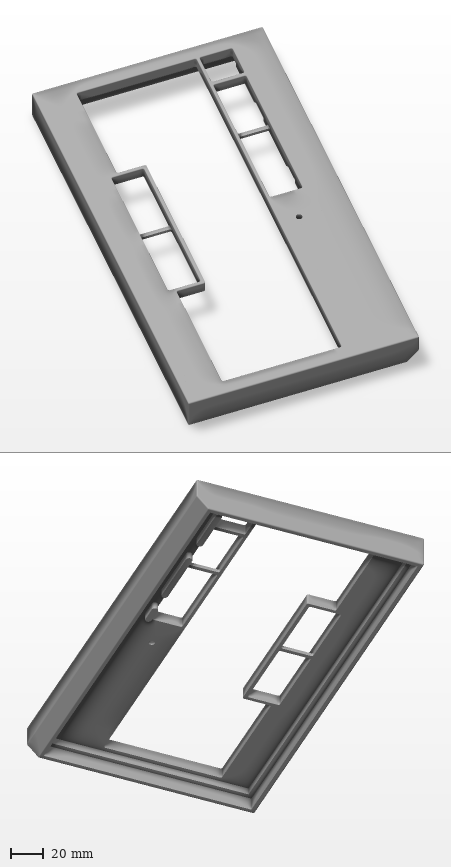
import cadquery as cq

length = 269.6
width = 151.8
height = 20.8
edge_radius = 0.8
rear_chamfer = 7.8

plate_thickness = 7.5
wall = 3.2
rear_wall = 10.2
ledge_depth = 12.0
ledge_width = 3.2

rear_y = width / 2
front_y = -width / 2
plate_bottom = height - plate_thickness
ledge_bottom = height - ledge_depth

corner_radius = 1.0
rim_radius = 0.5

border = 9.7
window_left = -length / 2 + border
window_right = length / 2 - border
window_rear = 28.5
window_front = -50.2
tongue_left = -55.8
tongue_right = 47.0
tongue_rear = -31.0

tongue_rim = 2.5
front_slot_left = tongue_left + tongue_rim
front_slot_right = tongue_right - tongue_rim
front_slot_rear = tongue_rear - tongue_rim
front_slot_front = -54.7
front_bar_x = -7.0

slot_rear = 52.3
slot_front = 30.7
slot_divider = 2.7
small_slot_right = -104.0
large_slot_left = small_slot_right + slot_divider
large_slot_right = -4.0
rear_bar_x = -61.7

bar_width = 2.7
bar_height = 2.2
bar_top = plate_bottom + bar_height

hole_diameter = 4.0
hole_x = 17.5
hole_y = 41.8

rib_width = 4.0
rib_setback = 0.5
rib_y = slot_rear + rib_setback + rib_width / 2
rib_spans = [(-122.0, -87.6), (-74.7, -32.0), (-20.5, -6.2)]


def block(left, right, front, rear, bottom, top):
    """Box given by its limits along X, Y and Z."""
    box = cq.Workplane("XY").box(right - left, rear - front, top - bottom, centered=False)
    return box.translate((left, front, bottom))


def rounded_block(left, right, front, rear, bottom, top):
    return block(left, right, front, rear, bottom, top).edges("|Z").fillet(corner_radius)


def cavity(inset, top):
    """Open space inside the walls, from the underside up to the given height."""
    side = length / 2 - wall - inset
    return block(-side, side, front_y + wall + inset, rear_y - rear_wall - inset, 0, top)


def housing():
    body = block(-length / 2, length / 2, front_y, rear_y, 0, height)
    body = body.edges(">Y and <Z").chamfer(rear_chamfer)
    body = body.edges().fillet(edge_radius)
    return body.cut(cavity(0, ledge_bottom)).cut(cavity(ledge_width, plate_bottom))


def key_window():
    opening = block(window_left, window_right, window_front, window_rear, 0, height)
    tongue = block(tongue_left, tongue_right, window_front, tongue_rear, 0, height)
    return opening.cut(tongue).edges("|Z").fillet(corner_radius)


def key_slot(left, right, front, rear):
    return rounded_block(left, right, front, rear, 0, height)


def split_key_slot(left, right, front, rear, bar_x):
    """Key slot whose lower part is divided in two by a low bar."""
    bar_left = bar_x - bar_width / 2
    bar_right = bar_x + bar_width / 2
    slot = rounded_block(left, right, front, rear, bar_top, height)
    slot = slot.union(rounded_block(left, bar_left, front, rear, 0, bar_top))
    return slot.union(rounded_block(bar_right, right, front, rear, 0, bar_top))


def rib(left, right):
    outline = cq.Workplane("XY", origin=((left + right) / 2, rib_y, ledge_bottom))
    return outline.slot2D(right - left, rib_width).extrude(plate_bottom - ledge_bottom)


openings = [
    key_window(),
    split_key_slot(front_slot_left, front_slot_right, front_slot_front, front_slot_rear, front_bar_x),
    key_slot(window_left, small_slot_right, slot_front, slot_rear),
    split_key_slot(large_slot_left, large_slot_right, slot_front, slot_rear, rear_bar_x),
]

result = housing()
for opening in openings:
    result = result.cut(opening)

rims = result.faces(">Z").val().innerWires()
rim_edges = [edge for wire in rims for edge in wire.Edges()]
result = result.newObject(rim_edges).fillet(rim_radius)

hole = cq.Workplane("XY").center(hole_x, hole_y).circle(hole_diameter / 2).extrude(height)
result = result.cut(hole)

for rib_left, rib_right in rib_spans:
    result = result.union(rib(rib_left, rib_right))